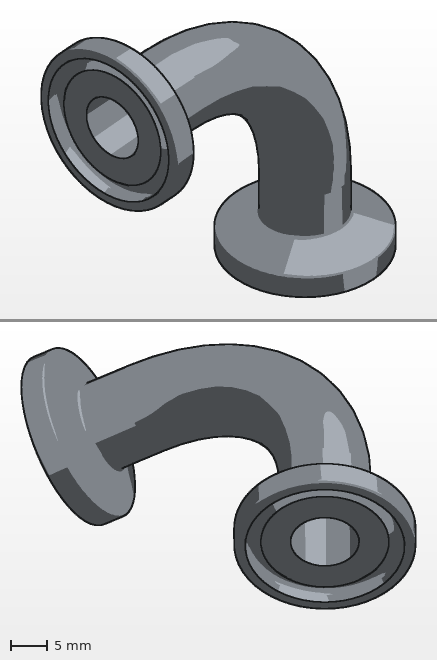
import cadquery as cq
import math

tube_diameter = 12.7
bore_diameter = 9.4
flange_diameter = 24.99
bend_radius = 28.575
ferrule_length = 12.7

rim_thickness = 3.6
back_slope_angle = 20.0
face_edge_radius = 0.4
back_edge_radius = 0.4
neck_fillet_radius = 0.5

face_recess = 0.8
sealing_face_diameter = 17.6
groove_outer_diameter = 21.89
groove_floor_radius = 0.78
groove_wall_angle = 35.0

tube_radius = tube_diameter / 2
bore_radius = bore_diameter / 2
flange_radius = flange_diameter / 2
center_to_face = bend_radius + ferrule_length


def round_edge(body, height, radius):
    """Fillet the circular edge whose center lies on the Z axis at the given height."""
    edge = cq.selectors.NearestToPointSelector((0, 0, height))
    return body.edges(edge).fillet(radius)


def ferrule_body():
    """Tube stub and clamp flange, face at Z = 0 and stub rising along +Z."""
    slope_rise = (flange_radius - tube_radius) * math.tan(math.radians(back_slope_angle))
    neck_height = rim_thickness + slope_rise
    body = (
        cq.Workplane("XZ")
        .lineTo(flange_radius, 0)
        .lineTo(flange_radius, rim_thickness)
        .lineTo(tube_radius, neck_height)
        .lineTo(tube_radius, ferrule_length)
        .lineTo(0, ferrule_length)
        .close()
        .revolve(360, (0, 0, 0), (0, 1, 0))
    )
    body = round_edge(body, neck_height, neck_fillet_radius)
    body = round_edge(body, rim_thickness, back_edge_radius)
    return round_edge(body, 0, face_edge_radius)


def face_cutter():
    """Recess of the sealing face plus the groove: sloped inner wall, round floor, straight outer wall."""
    outer_radius = groove_outer_diameter / 2
    sealing_radius = sealing_face_diameter / 2
    wall_angle = math.radians(groove_wall_angle)
    floor_center = outer_radius - groove_floor_radius
    tangent_radius = floor_center - groove_floor_radius * math.cos(wall_angle)
    tangent_depth = face_recess + (tangent_radius - sealing_radius) / math.tan(wall_angle)
    center_depth = tangent_depth - groove_floor_radius * math.sin(wall_angle)
    floor_depth = center_depth + groove_floor_radius
    return (
        cq.Workplane("XZ")
        .lineTo(0, face_recess)
        .lineTo(sealing_radius, face_recess)
        .lineTo(tangent_radius, tangent_depth)
        .threePointArc((floor_center, floor_depth), (outer_radius, center_depth))
        .lineTo(outer_radius, 0)
        .close()
        .revolve(360, (0, 0, 0), (0, 1, 0))
    )


def elbow(radius):
    """Quarter-turn round bar with straight ends, joining the centers of the two sealing faces."""
    path = (
        cq.Workplane("YZ")
        .moveTo(0, face_recess)
        .lineTo(0, ferrule_length)
        .radiusArc((-bend_radius, center_to_face), -bend_radius)
        .lineTo(face_recess - center_to_face, center_to_face)
    )
    return cq.Workplane("XY", origin=(0, 0, face_recess)).circle(radius).sweep(path)


def to_front_end(shape):
    """Move a part of the lower end to the matching place on the -Y end."""
    turned = shape.rotate((0, 0, 0), (1, 0, 0), -90)
    return turned.translate((0, -center_to_face, center_to_face))


lower_ferrule = ferrule_body().cut(face_cutter())
front_ferrule = to_front_end(lower_ferrule)
result = elbow(tube_radius).union(lower_ferrule).union(front_ferrule).cut(elbow(bore_radius))